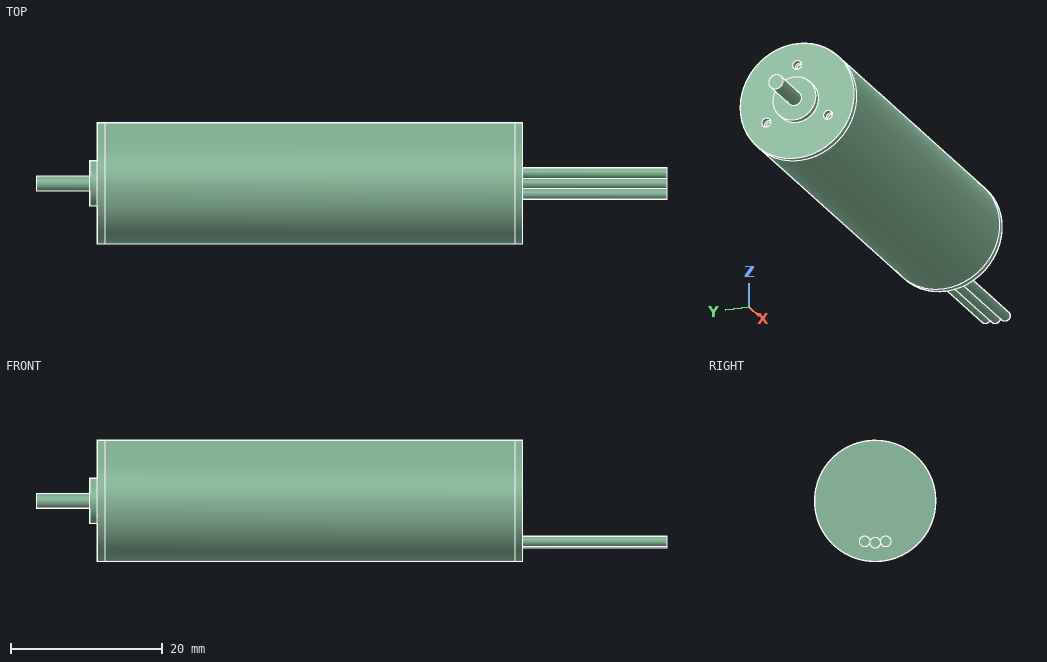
import cadquery as cq
import math

motor_diameter = 16.0
motor_length = 56.0
cap_thickness = 1.0
boss_diameter = 6.0
boss_height = 1.0
shaft_diameter = 1.99
shaft_reach = 8.0

screw_hole_radius = 1.22 / 2
screw_hole_depth = 1.5
drill_point_angle = 118.0
screw_hole_count = 3
screw_circle_radius = 5.0

strand_diameter = 1.4
strand_count = 3
strand_arc_radius = 5.5
strand_spacing_angle = 14.5
cable_length = 19.0

drill_tip_length = screw_hole_radius / math.tan(math.radians(drill_point_angle / 2))
rear_cap_start = motor_length - cap_thickness
middle_strand = (strand_count - 1) / 2


def rod(diameter, start, end, z=0.0):
    """Solid cylinder along X between two X positions."""
    section = cq.Workplane("YZ", origin=(start, 0, z)).circle(diameter / 2)
    return section.extrude(end - start)


def make_screw_drill():
    """Drill shape of the top screw hole: a cylinder ending in a cone."""
    profile = [
        (0, 0),
        (0, screw_hole_radius),
        (screw_hole_depth, screw_hole_radius),
        (screw_hole_depth + drill_tip_length, 0),
    ]
    drill = cq.Workplane("XY").polyline(profile).close().revolve(360, (0, 0, 0), (1, 0, 0))
    return drill.translate((0, 0, screw_circle_radius))


def cut_screw_holes(body):
    """Cut the part of the screw holes that lies in the given body."""
    for index in range(screw_hole_count):
        angle = 360 / screw_hole_count * index
        body = body.cut(make_screw_drill().rotate((0, 0, 0), (1, 0, 0), angle))
    return body


def make_front_flange():
    """Front end disc with its centring boss, shaft bore and screw holes."""
    flange = rod(motor_diameter, 0, cap_thickness)
    flange = flange.union(rod(boss_diameter, -boss_height, 0))
    flange = flange.cut(rod(shaft_diameter, -boss_height, cap_thickness))
    return cut_screw_holes(flange)


def make_housing():
    """Cylindrical motor body between the two end caps, holding the blind ends of the screw holes."""
    return cut_screw_holes(rod(motor_diameter, cap_thickness, rear_cap_start))


def make_rear_cap():
    """Rear end disc with the ribbon cable moulded into it."""
    cap = rod(motor_diameter, rear_cap_start, motor_length)
    lowest_strand = rod(strand_diameter, motor_length, motor_length + cable_length, z=-strand_arc_radius)
    for index in range(strand_count):
        angle = strand_spacing_angle * (index - middle_strand)
        cap = cap.union(lowest_strand.rotate((0, 0, 0), (1, 0, 0), angle))
    return cap


def make_shaft():
    """Output shaft, from the housing through the flange bore."""
    return rod(shaft_diameter, -shaft_reach, cap_thickness)


front_flange = make_front_flange()
housing = make_housing()
rear_cap = make_rear_cap()
shaft = make_shaft()

result = cq.Compound.makeCompound([front_flange.val(), housing.val(), rear_cap.val(), shaft.val()])